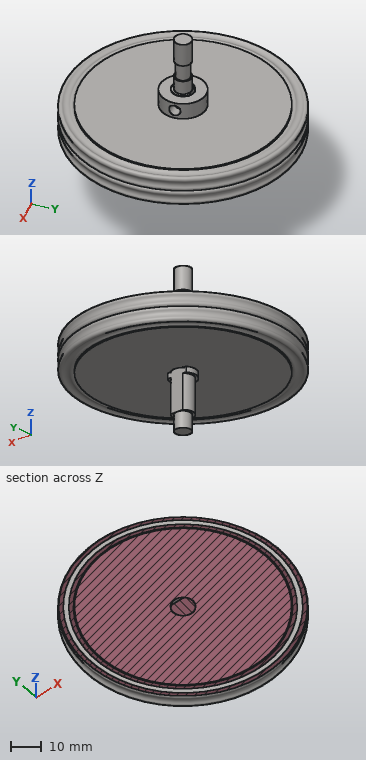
import cadquery as cq
import math

ring_outer_dia = 81.3
rim_dia = 70.6
ring_count = 2
lobe_radius = 1.0
groove_depth = 0.53
ring_section = (ring_outer_dia - rim_dia) / 2

disc_thickness = ring_count * ring_section
hub_dia = 16.0
hub_height = 6.0
hub_top = disc_thickness + hub_height
screw_hole_dia = 3.9

journal_dia = 8.0
end_dia = 6.0
neck_dia = 5.0
collar_dia = 10.0
flat_offset = end_dia / 2
shaft_top = 36.9
neck_top = 28.4
neck_bottom = 22.1
journal_projection = 0.25
journal_top = hub_top + journal_projection
collar_bottom = -2.0
journal_bottom = -15.0
shaft_bottom = -21.05


def cylinder(diameter, bottom, top):
    """Cylinder on the Z axis between two heights."""
    return cq.Workplane("XY").workplane(offset=bottom).circle(diameter / 2).extrude(top - bottom)


def make_wheel():
    """Disc and hub with a shaft bore and a radial set-screw hole on +X."""
    wheel = cylinder(rim_dia, 0, disc_thickness).union(cylinder(hub_dia, disc_thickness, hub_top))
    wheel = wheel.cut(cylinder(journal_dia, 0, hub_top))
    screw_hole = (
        cq.Workplane("YZ")
        .center(0, disc_thickness + hub_height / 2)
        .circle(screw_hole_dia / 2)
        .extrude(hub_dia / 2)
    )
    return wheel.cut(screw_hole)


def make_shaft():
    """Stepped shaft with one flat on +Y, level with the side of its ends."""
    steps = [
        (end_dia, shaft_bottom, journal_bottom),
        (journal_dia, journal_bottom, collar_bottom),
        (collar_dia, collar_bottom, 0),
        (journal_dia, 0, journal_top),
        (end_dia, journal_top, neck_bottom),
        (neck_dia, neck_bottom, neck_top),
        (end_dia, neck_top, shaft_top),
    ]
    shaft = cq.Workplane("XY")
    for diameter, bottom, top in steps:
        shaft = shaft.union(cylinder(diameter, bottom, top))
    flat_cutter = (
        cq.Workplane("XY")
        .workplane(offset=journal_bottom)
        .center(0, flat_offset + collar_dia / 2)
        .rect(collar_dia, collar_dia)
        .extrude(journal_top - journal_bottom)
    )
    return shaft.cut(flat_cutter)


def make_ring(bottom):
    """Ring whose section has a round lobe at each corner and a tangent groove on each side."""
    half = ring_section / 2
    lobe_offset = half - lobe_radius
    center_distance = (lobe_offset**2 + groove_depth**2) / (2 * groove_depth)
    tangent_angle = math.asin(lobe_offset / center_distance)
    tangent_along = lobe_offset - lobe_radius * math.sin(tangent_angle)
    tangent_out = lobe_offset + lobe_radius * math.cos(tangent_angle)
    lobe_tip = lobe_offset + lobe_radius * math.sqrt(0.5)

    section_radius = rim_dia / 2 + half
    section_height = bottom + half

    def place(out, along, turn):
        """Section point turned by a number of quarter turns about the section centre."""
        for _ in range(turn):
            out, along = -along, out
        return (section_radius + out, section_height + along)

    section = cq.Workplane("XZ").moveTo(*place(tangent_out, -tangent_along, 0))
    for turn in range(4):
        groove_middle = place(half - groove_depth, 0, turn)
        groove_end = place(tangent_out, tangent_along, turn)
        lobe_end = place(tangent_along, tangent_out, turn)
        section = section.threePointArc(groove_middle, groove_end)
        section = section.threePointArc(place(lobe_tip, lobe_tip, turn), lobe_end)
    return section.close().revolve(360, (0, 0), (0, 1))


wheel = make_wheel()
shaft = make_shaft()
rings = [make_ring(index * ring_section) for index in range(ring_count)]

result = cq.Compound.makeCompound([wheel.val(), shaft.val(), *[ring.val() for ring in rings]])